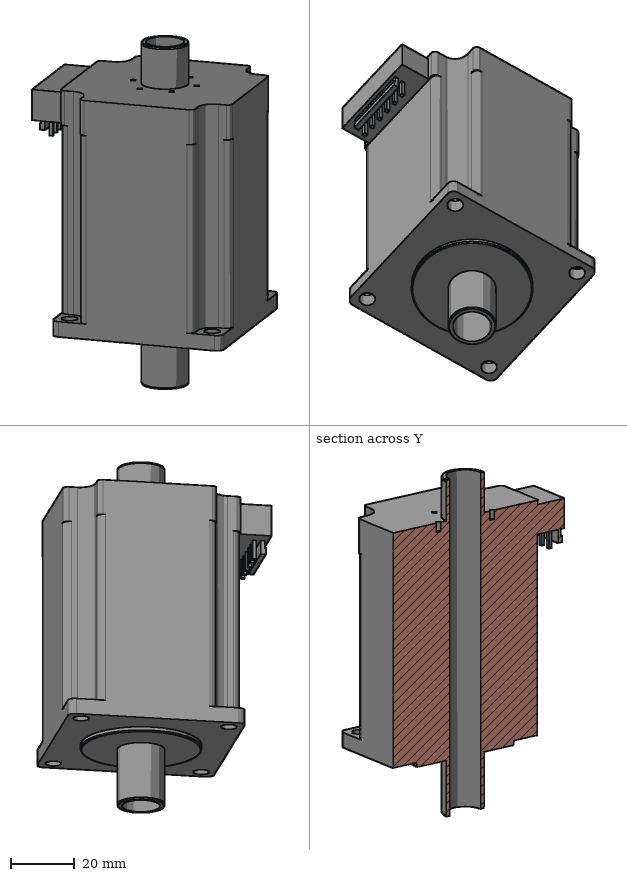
import cadquery as cq


frame_width = 56.4
half_frame = frame_width / 2
flange_thickness = 5.0
flange_corner_radius = 2.3
frame_height = 77.6
cap_height = 11.4
cap_overhang = 0.3

relief_edge = 19.0
relief_inner_radius = 5.0
body_edge_radius = 2.3
cap_edge_radius = 1.55

mounting_hole_diameter = 5.0
mounting_hole_spacing = 47.14

pilot_diameter = 38.1
pilot_height = 1.5
pilot_chamfer = 0.4

shaft_diameter = 15.0
bore_diameter = 12.0
total_height = 111.0
shaft_front_length = 20.0
shaft_chamfer_length = 0.5
shaft_chamfer_depth = 0.3

rear_hole_diameter = 1.57
rear_hole_circle_diameter = 21.0
rear_hole_count = 6
rear_hole_depth = 3.0

total_length = 66.9
connector_width = 32.0
connector_height = 10.0
connector_outer_x = half_frame - total_length

latch_width = 21.3
latch_height = 4.4
latch_outer_offset = 1.2
latch_thickness = 1.3
latch_lip_height = 2.1
latch_lip_depth = 0.4

pin_count = 6
pin_pitch = 3.96
pin_size = 1.14
pin_length = 6.1
pin_center_offset = 4.4

cap_bottom = frame_height - cap_height
shaft_bottom = -shaft_front_length
fuse_overlap = 1.0
coincidence_tolerance = 0.01


def box(x_min, x_max, width, z_min, z_max):
    """Block centred on Y = 0 between the given X and Z limits."""
    return (
        cq.Workplane("XY")
        .box(x_max - x_min, width, z_max - z_min, centered=(False, True, False))
        .translate((x_min, 0, z_min))
    )


def relieved_prism(x_min, x_max, edge_radius, z_min, z_max):
    """Block with a rounded relief at each vertical corner."""
    prism = box(x_min, x_max, frame_width, z_min, z_max)
    for x_side, x_face in ((-1, x_min), (1, x_max)):
        for y_side in (-1, 1):
            prism = prism.cut(corner_relief(x_side, x_face, y_side, z_min, z_max))
    outer_edges = prism.edges("|Z").filter(is_convex_relief_edge)
    return outer_edges.fillet(edge_radius)


def is_convex_relief_edge(edge):
    """True for the vertical edges where a relief breaks through a side face."""
    center = edge.Center()
    return max(abs(center.x), abs(center.y)) > half_frame - coincidence_tolerance


def corner_relief(x_side, x_face, y_side, z_min, z_max):
    """Cutter for one corner, with its inner vertical edge rounded."""
    reach_x = abs(x_face) - relief_edge + fuse_overlap
    reach_y = half_frame - relief_edge + fuse_overlap
    inner_edge = ("<X" if x_side > 0 else ">X") + " and " + ("<Y" if y_side > 0 else ">Y")
    return (
        cq.Workplane("XY", origin=(0, 0, z_min))
        .center(x_side * (relief_edge + reach_x / 2), y_side * (relief_edge + reach_y / 2))
        .rect(reach_x, reach_y)
        .extrude(z_max - z_min)
        .edges("|Z and " + inner_edge)
        .fillet(relief_inner_radius)
    )


def make_flange():
    """Square mounting flange with rounded corners."""
    flange = box(-half_frame, half_frame, frame_width, 0, flange_thickness)
    return flange.edges("|Z").fillet(flange_corner_radius)


def make_pilot():
    """Chamfered locating boss on the mounting face."""
    return (
        cq.Workplane("XY", origin=(0, 0, -pilot_height))
        .circle(pilot_diameter / 2)
        .extrude(pilot_height + fuse_overlap)
        .faces("<Z")
        .edges()
        .chamfer(pilot_chamfer)
    )


def make_shaft():
    """Solid shaft with a slim chamfer at both ends."""
    radius = shaft_diameter / 2
    end_radius = radius - shaft_chamfer_depth
    shaft_top = shaft_bottom + total_height
    return (
        cq.Workplane("XZ")
        .moveTo(0, shaft_bottom)
        .lineTo(end_radius, shaft_bottom)
        .lineTo(radius, shaft_bottom + shaft_chamfer_length)
        .lineTo(radius, shaft_top - shaft_chamfer_length)
        .lineTo(end_radius, shaft_top)
        .lineTo(0, shaft_top)
        .close()
        .revolve(360, (0, 0, 0), (0, 1, 0))
    )


def make_bore():
    """Cutter for the bore through the whole shaft."""
    return (
        cq.Workplane("XY", origin=(0, 0, shaft_bottom))
        .circle(bore_diameter / 2)
        .extrude(total_height)
    )


def make_mounting_holes():
    """Cutters for the four holes through the flange."""
    return (
        cq.Workplane("XY")
        .rect(mounting_hole_spacing, mounting_hole_spacing, forConstruction=True)
        .vertices()
        .circle(mounting_hole_diameter / 2)
        .extrude(flange_thickness)
    )


def make_rear_holes():
    """Cutters for the ring of blind holes around the shaft in the rear face."""
    return (
        cq.Workplane("XY", origin=(0, 0, frame_height))
        .polarArray(rear_hole_circle_diameter / 2, 0, 360, rear_hole_count)
        .circle(rear_hole_diameter / 2)
        .extrude(-rear_hole_depth)
    )


def make_connector():
    """Connector housing on the -X side with its latch plate and pins."""
    housing = box(
        connector_outer_x,
        -half_frame,
        connector_width,
        cap_bottom,
        cap_bottom + connector_height,
    )
    latch_x = connector_outer_x + latch_outer_offset
    latch_bottom = cap_bottom - latch_height
    stem = box(latch_x, latch_x + latch_thickness, latch_width, latch_bottom, cap_bottom + fuse_overlap)
    lip = box(
        latch_x - latch_lip_depth,
        latch_x + latch_thickness,
        latch_width,
        latch_bottom,
        latch_bottom + latch_lip_height,
    )
    pins = (
        cq.Workplane("XY", origin=(connector_outer_x + pin_center_offset, 0, cap_bottom - pin_length))
        .rarray(pin_pitch, pin_pitch, 1, pin_count)
        .rect(pin_size, pin_size)
        .extrude(pin_length + fuse_overlap)
    )
    return housing.union(stem).union(lip).union(pins)


body = relieved_prism(-half_frame, half_frame, body_edge_radius, flange_thickness, cap_bottom)
cap = relieved_prism(-half_frame - cap_overhang, half_frame, cap_edge_radius, cap_bottom, frame_height)

result = (
    make_flange()
    .union(body)
    .union(cap)
    .union(make_pilot())
    .union(make_shaft())
    .union(make_connector())
    .cut(make_bore())
    .cut(make_mounting_holes())
    .cut(make_rear_holes())
)